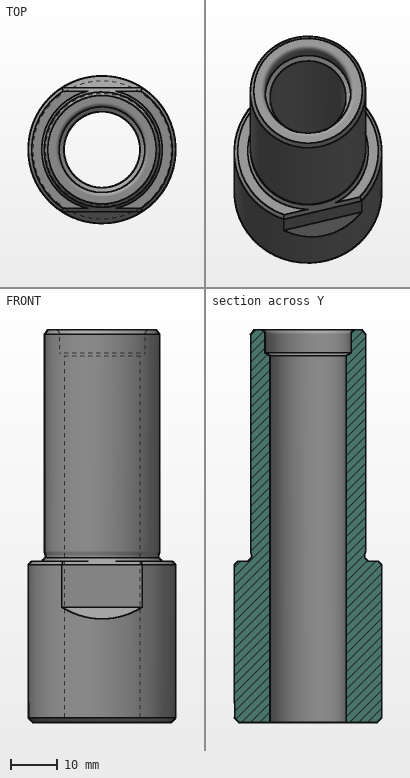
import cadquery as cq
import math

total_height = 85.0
collar_radius = 32.0 / 2
collar_top = 34.9
collar_chamfer = 0.8
end_chamfer = 1.0

stem_radius = 25.0 / 2
groove_radius = 24.6 / 2
groove_bottom = 35.7
groove_top = 36.2
stem_bottom = 37.0
stem_chamfer_width = 0.8
flare_radius = groove_radius + groove_bottom - collar_top

bore_radius = 16.4 / 2
counterbore_radius = 18.5 / 2
counterbore_floor = 80.0
floor_cone_height = 0.6
mouth_round = 0.9

flat_distance = 13.4
flat_bottom = 25.0


def make_body():
    """Revolve the collar, groove, stem and stepped bore about Z."""
    outside = [
        (bore_radius, 0),
        (collar_radius - end_chamfer, 0),
        (collar_radius, end_chamfer),
        (collar_radius, collar_top - collar_chamfer),
        (collar_radius - collar_chamfer, collar_top),
        (flare_radius, collar_top),
        (groove_radius, groove_bottom),
        (groove_radius, groove_top),
        (stem_radius, stem_bottom),
        (stem_radius, total_height - end_chamfer),
        (stem_radius - stem_chamfer_width, total_height),
        (counterbore_radius + mouth_round, total_height),
    ]
    arc_offset = mouth_round * (1 - math.sqrt(0.5))
    mouth_middle = (counterbore_radius + arc_offset, total_height - arc_offset)
    return (
        cq.Workplane("XZ")
        .polyline(outside)
        .threePointArc(mouth_middle, (counterbore_radius, total_height - mouth_round))
        .lineTo(counterbore_radius, counterbore_floor)
        .lineTo(bore_radius, counterbore_floor - floor_cone_height)
        .close()
        .revolve(360, (0, 0), (0, 1))
    )


def make_flat_cutter():
    """Cutter for the +Y flat: 45-degree run-out below, chamfer above."""
    run_out = collar_radius - flat_distance
    chamfer_start = collar_top - collar_chamfer
    chamfer_end = flat_distance - (groove_bottom - chamfer_start)
    profile = [
        (collar_radius, flat_bottom - run_out),
        (flat_distance, flat_bottom),
        (flat_distance, chamfer_start),
        (chamfer_end, groove_bottom),
        (collar_radius, groove_bottom),
    ]
    return (
        cq.Workplane("YZ")
        .polyline(profile)
        .close()
        .extrude(collar_radius, both=True)
    )


flat_cutter = make_flat_cutter()
result = make_body().cut(flat_cutter).cut(flat_cutter.mirror("XZ"))